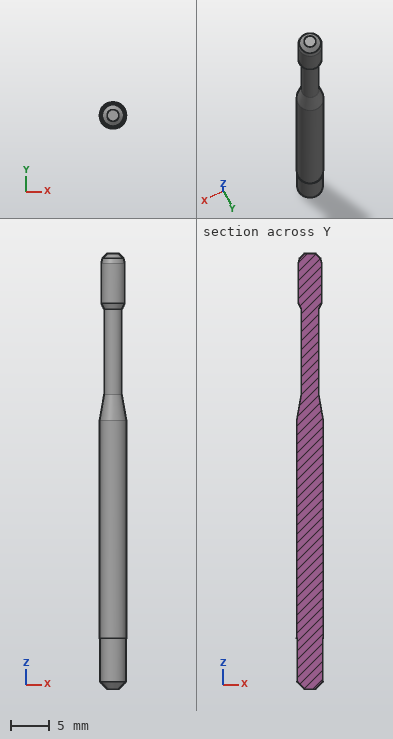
import cadquery as cq

tip_diameter = 1.45
tail_diameter = 3.4
body_diameter = 3.5
neck_diameter = 2.3
head_diameter = 3.1
crown_diameter = 2.75
crown_flat_diameter = 1.5

total_length = 56.2
tip_length = 1.0
tail_length = 5.55
body_length = 28.1
shoulder_length = 3.4
head_underside_length = 0.8
head_length = 5.1
head_bevel_length = 0.7
crown_length = 0.6

tail_bottom = tip_length
body_bottom = tail_bottom + tail_length
body_top = body_bottom + body_length
neck_bottom = body_top + shoulder_length
crown_bottom = total_length - crown_length
head_top = crown_bottom - head_bevel_length
head_bottom = head_top - head_length
neck_top = head_bottom - head_underside_length

profile_corners = [
    (tip_diameter, 0),
    (tail_diameter, tail_bottom),
    (tail_diameter, body_bottom),
    (body_diameter, body_bottom),
    (body_diameter, body_top),
    (neck_diameter, neck_bottom),
    (neck_diameter, neck_top),
    (head_diameter, head_bottom),
    (head_diameter, head_top),
    (crown_diameter, crown_bottom),
    (crown_flat_diameter, total_length),
]

half_section = cq.Workplane("XZ").moveTo(0, 0)
for diameter, height in profile_corners:
    half_section = half_section.lineTo(diameter / 2, height)
half_section = half_section.lineTo(0, total_length).close()

result = half_section.revolve(360, (0, 0, 0), (0, 1, 0))